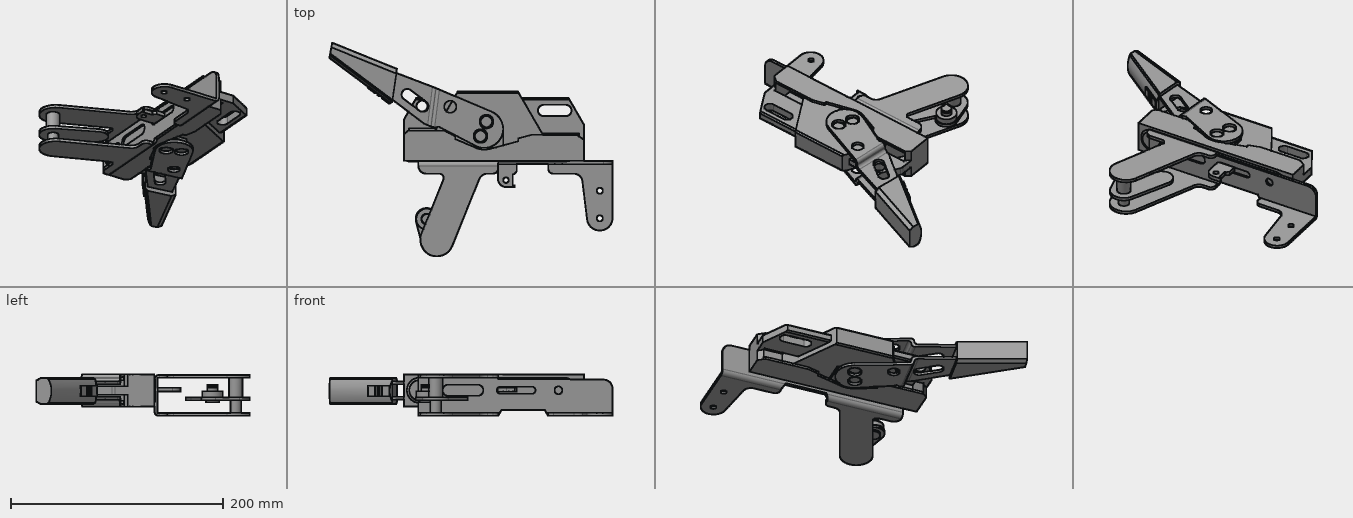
import math

import cadquery as cq


SHEET = 3.0
BRACKET_LEFT = 13.6
BRACKET_RIGHT = 197.0
BRACKET_TOP = 38.8
TOP_FLANGE_RIGHT = 89.0
LOW_WEB_TOP = 34.4
WEB_CORNER_R = 9.0
BEND_R = 4.5
FOOT_LEFT = 136.0
NOTCH_TOP = 5.5
FLANGE_Y = -12.2
FLANGE_CORNER_R = 5.0
FLANGE_END_R = 7.5
ARM_CENTRE = (31.2, -74.4)
ARM_R = 15.7
ARM_ANGLE = 68.0
ARM_ROOT_LEFT_R = 4.0
ARM_ROOT_RIGHT_R = 8.0
FOOT_CENTRE = (184.8, -53.6)
FOOT_R = BRACKET_RIGHT - FOOT_CENTRE[0]
FOOT_TAPER = 7.0
FOOT_ROOT_R = 8.0
FOOT_HOLE_D = 5.5
FOOT_HOLE_YS = (-28.2, -54.2)
MID_Z = 24.0
HOLE_Z = 24.2
WEB_HOLE_D = 7.4
WEB_HOLE_XS = (28.0, 145.8)
ROD_SLOT = (36.5, 75.0, 10.5)
TAB_SLOT = (87.7, 124.2, 6.8)

TAB_Z = 22.9
TAB_T = 3.8
TAB_HOLE = (96.3, -18.2)
TAB_HOLE_D = 5.0

LEVER_Z = 14.6
LEVER_PIVOT = (30.1, -76.8)
LEVER_PIVOT_R = 13.2
LEVER_END_R = 10.5
LEVER_INNER_END = (50.0, -40.0)
PILLAR_UPPER_D = 13.0
PILLAR_LOWER_D = 10.4
ROLLER_CENTRE = (21.6, -54.9)
ROLLER_D = 19.6
ROLLER_T = 5.7
ROLLER_PIN_D = 10.2
ROLLER_PIN_T = 3.4
ROLLER_GROOVE_D = 9.2
ROLLER_GROOVE_T = 1.5
ROLLER_CAP_T = 1.1
RIVET_D = 12.8
RIVET_T = 1.9

HOUSING_LENGTH = 170.0
HOUSING_HALF = 15.25
HOUSING_WALL = 2.5
END_WALL = 5.0
LEFT_EDGE_Y = 28.6
RIGHT_EDGE_Y = 24.4
LEFT_SHOULDER_Y = 25.0
RIGHT_SHOULDER_Y = 19.7
BOSS_LEFT = 2.9
BOSS_RIGHT = 163.0
BOSS_H = 23.8
BOSS_T = 1.0
BOSS_SLOPE = 2.3

SIDE_ANGLE = 60.0
PLATE_HALF = 4.1
PLATE_TOP_Y = 59.5
PLATE_SHOULDER_R = 6.0
PLATE_SHOULDER_Y = 39.0
PLATE_RIGHT_SHOULDER_Y = 34.0
PLATE_LEFT_BOTTOM_Y = 30.3
PLATE_RIGHT_BOTTOM_Y = 25.6
PLATE_HOLE = (17.2, 51.6)
PLATE_HOLE_D = 10.2
PLATE_SLOT = (126.6, 158.0, 47.5, 10.4)
CASE_HALF = 9.8
CASE_TOP_Y = 65.6
CASE_TOP_LEFT = 51.0
CASE_TOP_RIGHT = 107.5
CASE_BOTTOM_Y = 9.0
EDGE_CHAMFER = (2.0, 1.0)

HANDLE_T = 2.9
HANDLE_OUTER = 8.6
HEAD_OUTER = 15.5
CRANK_BASE = (27.4, 50.0)
CRANK_ANGLE = 82.8
CRANK_RUN = 0.6
CRANK_BEND_R = 3.4
HEAD_CENTRE = (75.8, 30.0)
HEAD_R = 17.8
HEAD_UPPER_TANGENT = 68.3
HEAD_LOWER_TANGENT = 242.1
HANDLE_UPPER_START = (-36.0, 94.0)
HANDLE_UPPER_BREAK = (29.0, 69.2)
HANDLE_LOWER_CORNERS = ((33.0, 32.2), (29.0, 31.5), (24.0, 33.0), (19.0, 35.2))
HANDLE_LOWER_START = (-30.0, 72.0)
SPACER_TOP_Y = 32.4
HANDLE_SLOT_ENDS = ((3.2, 62.5), (18.1, 51.4))
HANDLE_SLOT_W = 10.4
SIGHT_HOLE = (43.8, 51.0)
SIGHT_HOLE_D = 11.4
BOLTS = ((77.9, 37.0), (72.3, 23.4))
BOLT_HOLE_D = 13.0
BOLT_D = 10.6
BOLT_HALF = 13.5
GRIP_Z = 23.5
GRIP_HALF = 12.4
GRIP_TIP_TOP = (-67.6, 111.48)
GRIP_TIP_BOTTOM = (-70.3, 97.0)
GRIP_HEEL_BOTTOM = (-13.2, 54.4)
GRIP_HEEL_LIP = (-11.0, 55.4)
GRIP_HEEL_TOP = (-6.4, 86.8)
GRIP_BOW = 2.6
GRIP_UNDER_CHAMFER = 1.3
GRIP_BACK_CHAMFER = (4.4, 2.4)
LATCH_LENGTH = 25.3
LATCH_W = 10.2
LATCH_HEIGHT = 0.9
LATCH_GROOVES = (9.0, 14.0)
LATCH_GROOVE_W = 3.0


def slab(points, z_low, z_high):
    """Upright prism over a closed polygon."""
    return cq.Workplane("XY", origin=(0, 0, z_low)).polyline(points).close().extrude(z_high - z_low)


def disc(centre, diameter, z_low, z_high):
    """Upright cylinder."""
    return cq.Workplane("XY", origin=(*centre, z_low)).circle(diameter / 2).extrude(z_high - z_low)


def vertical_fillet(body, corner, radius):
    """Round the upright edge nearest to a point in plan."""
    z_mid = body.val().BoundingBox().center.z
    return body.edges("|Z").edges(cq.selectors.NearestToPointSelector((*corner, z_mid))).fillet(radius)


def slot_between(start, end, width, z_low, z_high):
    """Upright round-ended bar between two end centres."""
    run = (end[0] - start[0], end[1] - start[1])
    middle = ((start[0] + end[0]) / 2, (start[1] + end[1]) / 2)
    return (
        cq.Workplane("XY", origin=(*middle, z_low))
        .slot2D(math.hypot(*run) + width, width, math.degrees(math.atan2(run[1], run[0])))
        .extrude(z_high - z_low)
    )


def front_slot(left, right, height, y_depth):
    """Round-ended slot in XZ at the hole height, running from the front face into -Y."""
    return (
        cq.Workplane("XZ", origin=((left + right) / 2, 0, HOLE_Z))
        .slot2D(right - left, height)
        .extrude(y_depth)
    )


def tangent_link(centre_a, radius_a, centre_b, radius_b, z_low, z_high):
    """Two discs joined by their outer tangents."""
    run = (centre_b[0] - centre_a[0], centre_b[1] - centre_a[1])
    heading = math.atan2(run[1], run[0])
    spread = math.acos((radius_a - radius_b) / math.hypot(*run))

    def rim(centre, radius, angle):
        return (centre[0] + radius * math.cos(angle), centre[1] + radius * math.sin(angle))

    return (
        cq.Workplane("XY", origin=(0, 0, z_low))
        .moveTo(*rim(centre_a, radius_a, heading + spread))
        .threePointArc(
            rim(centre_a, radius_a, heading + math.pi), rim(centre_a, radius_a, heading - spread)
        )
        .lineTo(*rim(centre_b, radius_b, heading - spread))
        .threePointArc(rim(centre_b, radius_b, heading), rim(centre_b, radius_b, heading + spread))
        .close()
        .extrude(z_high - z_low)
    )


def mirrored(body):
    """The body together with its mirror image about the mid height."""
    return body.union(body.mirror("XY", (0, 0, MID_Z)))


def side_x(top_x, top_y, y, direction):
    """X on a sloping side that passes through (top_x, top_y); direction is -1 left, +1 right."""
    return top_x + direction * (top_y - y) / math.tan(math.radians(SIDE_ANGLE))


def arm_flange(z_low):
    """Flange at the left end of the bracket with its slanted arm."""
    slant = math.radians(ARM_ANGLE)
    across = (-math.sin(slant) * ARM_R, math.cos(slant) * ARM_R)
    along = (math.cos(slant), math.sin(slant))

    def edge_at(side, y):
        start = (ARM_CENTRE[0] + side * across[0], ARM_CENTRE[1] + side * across[1])
        return (start[0] + (y - start[1]) * along[0] / along[1], y)

    root_left = edge_at(1, FLANGE_Y)
    root_right = edge_at(-1, FLANGE_Y)
    body = (
        cq.Workplane("XY", origin=(0, 0, z_low))
        .moveTo(BRACKET_LEFT, 0)
        .lineTo(BRACKET_LEFT, FLANGE_Y)
        .lineTo(*root_left)
        .lineTo(ARM_CENTRE[0] + across[0], ARM_CENTRE[1] + across[1])
        .threePointArc(
            (ARM_CENTRE[0] - ARM_R * along[0], ARM_CENTRE[1] - ARM_R * along[1]),
            (ARM_CENTRE[0] - across[0], ARM_CENTRE[1] - across[1]),
        )
        .lineTo(*root_right)
        .lineTo(TOP_FLANGE_RIGHT, FLANGE_Y)
        .lineTo(TOP_FLANGE_RIGHT, 0)
        .close()
        .extrude(SHEET)
    )
    body = vertical_fillet(body, root_left, ARM_ROOT_LEFT_R)
    body = vertical_fillet(body, root_right, ARM_ROOT_RIGHT_R)
    body = vertical_fillet(body, (BRACKET_LEFT, FLANGE_Y), FLANGE_END_R)
    return vertical_fillet(body, (TOP_FLANGE_RIGHT, FLANGE_Y), FLANGE_CORNER_R)


def foot_flange():
    """Lower flange at the right end with a tapered, round-ended foot and two holes."""
    taper = math.radians(FOOT_TAPER)
    tangent = (
        FOOT_CENTRE[0] - FOOT_R * math.cos(taper),
        FOOT_CENTRE[1] - FOOT_R * math.sin(taper),
    )
    root = (tangent[0] - (FLANGE_Y - tangent[1]) * math.tan(taper), FLANGE_Y)
    body = (
        cq.Workplane("XY")
        .moveTo(FOOT_LEFT, 0)
        .lineTo(FOOT_LEFT, FLANGE_Y)
        .lineTo(*root)
        .lineTo(*tangent)
        .threePointArc((FOOT_CENTRE[0], FOOT_CENTRE[1] - FOOT_R), (BRACKET_RIGHT, FOOT_CENTRE[1]))
        .lineTo(BRACKET_RIGHT, 0)
        .close()
        .extrude(SHEET)
    )
    body = vertical_fillet(body, root, FOOT_ROOT_R)
    body = vertical_fillet(body, (FOOT_LEFT, FLANGE_Y), FLANGE_CORNER_R)
    for y in FOOT_HOLE_YS:
        body = body.cut(disc((FOOT_CENTRE[0], y), FOOT_HOLE_D, 0, SHEET))
    return body


def bracket():
    """Web with slots, two arm flanges and the foot, with rounded bends."""
    web = (
        cq.Workplane("XZ")
        .moveTo(BRACKET_LEFT, 0)
        .lineTo(TOP_FLANGE_RIGHT, 0)
        .lineTo(TOP_FLANGE_RIGHT + SHEET, NOTCH_TOP)
        .lineTo(FOOT_LEFT - SHEET, NOTCH_TOP)
        .lineTo(FOOT_LEFT, 0)
        .lineTo(BRACKET_RIGHT, 0)
        .lineTo(BRACKET_RIGHT, LOW_WEB_TOP - WEB_CORNER_R)
        .radiusArc((BRACKET_RIGHT - WEB_CORNER_R, LOW_WEB_TOP), -WEB_CORNER_R)
        .lineTo(TOP_FLANGE_RIGHT, LOW_WEB_TOP)
        .lineTo(TOP_FLANGE_RIGHT, BRACKET_TOP)
        .lineTo(BRACKET_LEFT, BRACKET_TOP)
        .close()
        .extrude(SHEET)
    )
    for x in WEB_HOLE_XS:
        web = web.cut(cq.Workplane("XZ", origin=(x, 0, HOLE_Z)).circle(WEB_HOLE_D / 2).extrude(SHEET))
    web = web.cut(front_slot(*ROD_SLOT, SHEET)).cut(front_slot(*TAB_SLOT, SHEET))
    body = web.union(arm_flange(0)).union(arm_flange(BRACKET_TOP - SHEET)).union(foot_flange())
    envelope = (
        cq.Workplane("XY")
        .box(BRACKET_RIGHT, -2 * ARM_CENTRE[1], BRACKET_TOP, centered=(False, True, False))
        .translate((0, ARM_CENTRE[1], 0))
        .edges("|X and >Y")
        .fillet(BEND_R)
    )
    return body.intersect(envelope)


def tab():
    """Hooked tab with a hole, reaching from the housing through the bracket web."""
    left, right = 88.6, 106.6
    step_x, step_y = 102.8, -12.8
    hook_x, hook_y = 104.8, -23.2
    tip_y = -24.8
    corner_r = 8.0
    bevel = 2.8
    body = slab(
        [
            (left, HOUSING_WALL),
            (left, tip_y),
            (hook_x, tip_y),
            (hook_x, hook_y),
            (step_x, hook_y),
            (step_x, step_y),
            (right - bevel, step_y),
            (right, step_y + bevel),
            (right, HOUSING_WALL),
        ],
        TAB_Z,
        TAB_Z + TAB_T,
    )
    body = vertical_fillet(body, (left, tip_y), corner_r)
    return body.cut(disc(TAB_HOLE, TAB_HOLE_D, TAB_Z, TAB_Z + TAB_T))


def lever():
    """Two-armed lever on its pillar, carrying a riveted roller."""
    top = LEVER_Z + SHEET
    body = disc(LEVER_PIVOT, PILLAR_LOWER_D, 0, LEVER_Z)
    body = body.union(disc(LEVER_PIVOT, PILLAR_UPPER_D, top, BRACKET_TOP - SHEET))
    for end in (ROLLER_CENTRE, LEVER_INNER_END):
        body = body.union(tangent_link(LEVER_PIVOT, LEVER_PIVOT_R, end, LEVER_END_R, LEVER_Z, top))
    body = body.union(disc(ROLLER_CENTRE, RIVET_D, LEVER_Z - RIVET_T, LEVER_Z))
    z = top
    for diameter, height in (
        (ROLLER_D, ROLLER_T),
        (ROLLER_PIN_D, ROLLER_PIN_T),
        (ROLLER_GROOVE_D, ROLLER_GROOVE_T),
        (ROLLER_PIN_D, ROLLER_CAP_T),
    ):
        body = body.union(disc(ROLLER_CENTRE, diameter, z, z + height))
        z += height
    return body


def housing():
    """Shallow box open at the back, its flanges curved to clear the handle head."""
    left_bevel = 4.2
    right_bevel = 6.5
    curve_left = 38.0
    curve_right = 120.0
    clearance_r = 19.5
    clearance_start, clearance_end = -30, 15
    left_step_x, left_step_top, left_step_bottom = 48.7, 23.0, 20.4
    right_step_x, right_step_bottom, right_step_top = 108.0, 18.5, 21.2

    def clearance_point(degrees):
        """Point on the round clearance below the handle head, measured from straight down."""
        angle = math.radians(degrees)
        return (
            HEAD_CENTRE[0] + clearance_r * math.sin(angle),
            HEAD_CENTRE[1] - clearance_r * math.cos(angle),
        )

    outline = (
        cq.Workplane("XY", origin=(0, 0, MID_Z - HOUSING_HALF))
        .moveTo(0, 0)
        .lineTo(0, LEFT_SHOULDER_Y)
        .lineTo(left_bevel, LEFT_EDGE_Y)
        .lineTo(curve_left, LEFT_EDGE_Y)
        .lineTo(left_step_x, left_step_top)
        .lineTo(left_step_x, left_step_bottom)
        .lineTo(*clearance_point(clearance_start))
        .threePointArc(clearance_point(0), clearance_point(clearance_end))
        .lineTo(right_step_x, right_step_bottom)
        .lineTo(right_step_x, right_step_top)
        .lineTo(curve_right, RIGHT_EDGE_Y)
        .lineTo(HOUSING_LENGTH - right_bevel, RIGHT_EDGE_Y)
        .lineTo(HOUSING_LENGTH, RIGHT_SHOULDER_Y)
        .lineTo(HOUSING_LENGTH, 0)
        .close()
        .extrude(2 * HOUSING_HALF)
    )
    cavity = cq.Workplane("XY", origin=(END_WALL, HOUSING_WALL, MID_Z)).box(
        HOUSING_LENGTH - 2 * END_WALL,
        LEFT_EDGE_Y,
        2 * (HOUSING_HALF - HOUSING_WALL),
        centered=(False, False, True),
    )
    boss = (
        cq.Workplane("XZ", origin=((BOSS_LEFT + BOSS_RIGHT) / 2, 0, HOLE_Z))
        .slot2D(BOSS_RIGHT - BOSS_LEFT, BOSS_H)
        .extrude(BOSS_T, taper=math.degrees(math.atan2(BOSS_SLOPE, BOSS_T)))
    )
    return outline.cut(cavity).union(boss)


def chamfer_back(body):
    """Slope both long back edges of a plate."""
    along_y, along_z = EDGE_CHAMFER
    box = body.val().BoundingBox()
    wedge = (
        cq.Workplane("YZ", origin=(box.xmin, box.ymax, box.zmax))
        .polyline([(0, 0), (-along_y, 0), (0, -along_z)])
        .close()
        .extrude(box.xlen)
    )
    return body.cut(mirrored(wedge))


def lock_body():
    """Slotted middle plate tied to the housing ends, and the case under the handle head."""
    plate = slab(
        [
            (0, LEFT_SHOULDER_Y - END_WALL),
            (0, PLATE_SHOULDER_Y),
            (side_x(0, PLATE_SHOULDER_Y, PLATE_TOP_Y, -1), PLATE_TOP_Y),
            (side_x(HOUSING_LENGTH, PLATE_RIGHT_SHOULDER_Y, PLATE_TOP_Y, 1), PLATE_TOP_Y),
            (HOUSING_LENGTH, PLATE_RIGHT_SHOULDER_Y),
            (HOUSING_LENGTH, RIGHT_SHOULDER_Y - END_WALL),
            (HOUSING_LENGTH - END_WALL, RIGHT_SHOULDER_Y - END_WALL),
            (HOUSING_LENGTH - END_WALL, PLATE_RIGHT_BOTTOM_Y),
            (HOUSING_LENGTH / 2, PLATE_RIGHT_BOTTOM_Y),
            (HOUSING_LENGTH / 2, PLATE_LEFT_BOTTOM_Y),
            (END_WALL, PLATE_LEFT_BOTTOM_Y),
            (END_WALL, LEFT_SHOULDER_Y - END_WALL),
        ],
        MID_Z - PLATE_HALF,
        MID_Z + PLATE_HALF,
    )
    case = slab(
        [
            (side_x(CASE_TOP_LEFT, CASE_TOP_Y, CASE_BOTTOM_Y, -1), CASE_BOTTOM_Y),
            (CASE_TOP_LEFT, CASE_TOP_Y),
            (CASE_TOP_RIGHT, CASE_TOP_Y),
            (side_x(CASE_TOP_RIGHT, CASE_TOP_Y, CASE_BOTTOM_Y, 1), CASE_BOTTOM_Y),
        ],
        MID_Z - CASE_HALF,
        MID_Z + CASE_HALF,
    )
    slot_left, slot_right, slot_y, slot_w = PLATE_SLOT
    slot = slot_between(
        (slot_left + slot_w / 2, slot_y), (slot_right - slot_w / 2, slot_y), slot_w, 0, BRACKET_TOP
    )
    plate = vertical_fillet(plate, (0, PLATE_SHOULDER_Y), PLATE_SHOULDER_R)
    plate = chamfer_back(plate).cut(slot)
    plate = plate.cut(disc(PLATE_HOLE, PLATE_HOLE_D, 0, BRACKET_TOP))
    return plate.union(chamfer_back(case))


def handle_plates():
    """Pair of plates, close together at the grip and cranked apart over the case."""

    def head_rim(degrees):
        """Point on the rim of the round head."""
        angle = math.radians(degrees)
        return (HEAD_CENTRE[0] + HEAD_R * math.cos(angle), HEAD_CENTRE[1] + HEAD_R * math.sin(angle))

    outline = (
        cq.Workplane("XY")
        .polyline(
            [
                HANDLE_UPPER_START,
                HANDLE_UPPER_BREAK,
                head_rim(HEAD_UPPER_TANGENT),
                HEAD_CENTRE,
                head_rim(HEAD_LOWER_TANGENT),
                *HANDLE_LOWER_CORNERS,
                HANDLE_LOWER_START,
            ]
        )
        .close()
        .extrude(2 * MID_Z)
        .union(disc(HEAD_CENTRE, 2 * HEAD_R, 0, 2 * MID_Z))
    )
    outline = outline.cut(slot_between(*HANDLE_SLOT_ENDS, HANDLE_SLOT_W, 0, 2 * MID_Z))
    outline = outline.cut(disc(SIGHT_HOLE, SIGHT_HOLE_D, 0, 2 * MID_Z))
    for bolt in BOLTS:
        outline = outline.cut(disc(bolt, BOLT_HOLE_D, 0, 2 * MID_Z))
    reach = 120.0
    crease = math.radians(CRANK_ANGLE)
    section_plane = cq.Plane(
        origin=(*CRANK_BASE, MID_Z),
        xDir=(math.sin(crease), -math.cos(crease), 0),
        normal=(math.cos(crease), math.sin(crease), 0),
    )
    ramp_angle = math.atan2(HEAD_OUTER - HANDLE_OUTER, CRANK_RUN)
    inner_shift = HANDLE_T * math.tan(ramp_angle / 2)
    outer_creases = [(0, HANDLE_OUTER), (CRANK_RUN, HEAD_OUTER)]
    inner_creases = [(u + inner_shift, v - HANDLE_T) for u, v in reversed(outer_creases)]
    section = (
        cq.Workplane(section_plane)
        .polyline(
            [
                (-reach, HANDLE_OUTER),
                *outer_creases,
                (reach, HEAD_OUTER),
                (reach, HEAD_OUTER - HANDLE_T),
                *inner_creases,
                (-reach, HANDLE_OUTER - HANDLE_T),
            ]
        )
        .close()
        .extrude(reach, both=True)
    )
    for crease_point in outer_creases + inner_creases:
        place = section_plane.toWorldCoords(crease_point).toTuple()
        crease_line = section.edges(cq.selectors.ParallelDirSelector(section_plane.zDir))
        section = crease_line.edges(cq.selectors.NearestToPointSelector(place)).fillet(CRANK_BEND_R)
    return mirrored(section).intersect(outline)


def head_mount():
    """Spacer between the case and the handle head, and the two bolts through them."""
    half = HEAD_OUTER - HANDLE_T
    spacer = slab(
        [
            (HEAD_CENTRE[0], SPACER_TOP_Y),
            (HEAD_CENTRE[0] + HEAD_R, SPACER_TOP_Y),
            (HEAD_CENTRE[0] + HEAD_R, HEAD_CENTRE[1] - HEAD_R),
            (HEAD_CENTRE[0], HEAD_CENTRE[1] - HEAD_R),
        ],
        MID_Z - half,
        MID_Z + half,
    )
    for bolt in BOLTS:
        spacer = spacer.union(disc(bolt, BOLT_D, MID_Z - BOLT_HALF, MID_Z + BOLT_HALF))
    return spacer


def grip_plane(start, end):
    """Plane across a grip edge: local X points into the grip, local Y down, local Z to the end."""
    run = cq.Vector(end[0] - start[0], end[1] - start[1], 0)
    inward = cq.Vector(0, 0, -1).cross(run)
    return cq.Plane(origin=(*start, GRIP_Z), xDir=inward, normal=run)


def grip():
    """Tapered grip with a bowed underside, sloped edges and a raised, grooved latch pad."""
    length = math.dist(GRIP_HEEL_BOTTOM, GRIP_TIP_BOTTOM)
    under_plane = grip_plane(GRIP_HEEL_BOTTOM, GRIP_TIP_BOTTOM)
    back_plane = grip_plane(GRIP_TIP_TOP, GRIP_HEEL_TOP)
    body = slab(
        [GRIP_TIP_TOP, GRIP_TIP_BOTTOM, GRIP_HEEL_BOTTOM, GRIP_HEEL_LIP, GRIP_HEEL_TOP],
        GRIP_Z - GRIP_HALF,
        GRIP_Z + GRIP_HALF,
    )
    bow_half = GRIP_HALF - GRIP_UNDER_CHAMFER
    bowed = (
        cq.Workplane(under_plane)
        .moveTo(GRIP_BOW, -bow_half)
        .threePointArc((0, 0), (GRIP_BOW, bow_half))
        .lineTo(GRIP_BOW + GRIP_UNDER_CHAMFER, GRIP_HALF)
        .lineTo(length, GRIP_HALF)
        .lineTo(length, -GRIP_HALF)
        .lineTo(GRIP_BOW + GRIP_UNDER_CHAMFER, -GRIP_HALF)
        .close()
        .extrude(2 * length, both=True)
    )
    body = body.intersect(bowed)
    inset, drop = GRIP_BACK_CHAMFER
    for side in (-1, 1):
        wedge = (
            cq.Workplane(back_plane)
            .polyline([(0, side * GRIP_HALF), (inset, side * GRIP_HALF), (0, side * (GRIP_HALF - drop))])
            .close()
            .extrude(length, both=True)
        )
        body = body.cut(wedge)
    pad = cq.Workplane(under_plane).rect(2 * LATCH_HEIGHT, LATCH_W).extrude(LATCH_LENGTH)
    for offset in LATCH_GROOVES:
        groove = (
            cq.Workplane(under_plane)
            .workplane(offset=offset)
            .center(-LATCH_HEIGHT, 0)
            .rect(2 * LATCH_HEIGHT, LATCH_W)
            .extrude(LATCH_GROOVE_W)
        )
        pad = pad.cut(groove)
    return body.union(pad)


result = bracket()
for component in (tab(), lever(), housing(), lock_body(), handle_plates(), head_mount(), grip()):
    result = result.union(component)